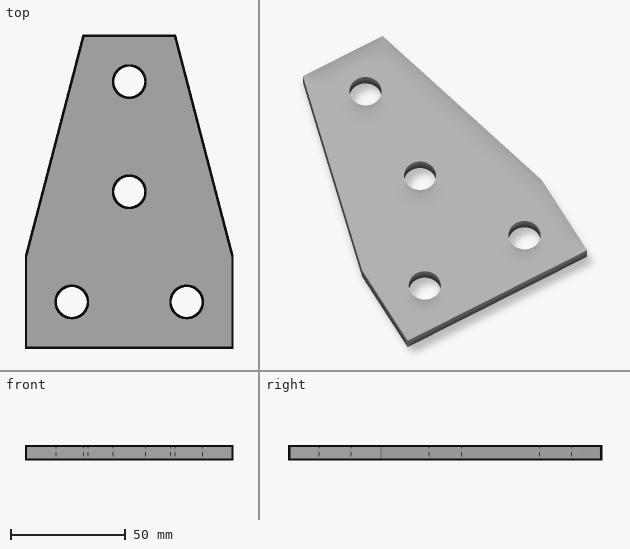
import cadquery as cq

length = 136.0
base_width = 90.0
tip_width = 40.0
thickness = 6.0
straight_length = 40.0

hole_diameter = 14.0
edge_margin = 20.0

half_length = length / 2
half_base = base_width / 2
half_tip = tip_width / 2
shoulder_y = straight_length - half_length

outline = [
    (-half_base, -half_length),
    (half_base, -half_length),
    (half_base, shoulder_y),
    (half_tip, half_length),
    (-half_tip, half_length),
    (-half_base, shoulder_y),
]
plate = cq.Workplane("XY").polyline(outline).close().extrude(thickness / 2, both=True)

hole_x = half_base - edge_margin
hole_y = half_length - edge_margin
hole_centres = [(-hole_x, -hole_y), (hole_x, -hole_y), (0, 0), (0, hole_y)]

result = plate.faces(">Z").workplane(origin=(0, 0, 0)).pushPoints(hole_centres).hole(hole_diameter)